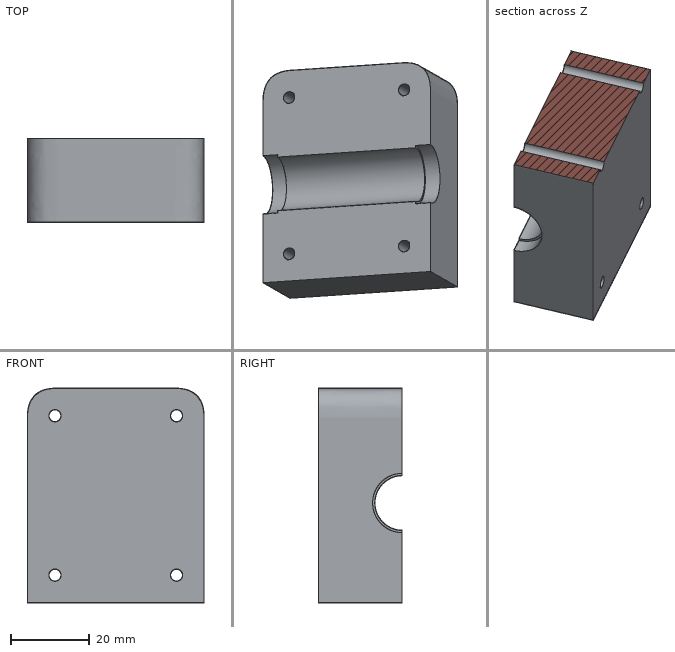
import cadquery as cq

width = 45.3
depth = 21.5
height = 55.0
corner_size = 7.6

hole_diameter = 3.0
hole_inset = 7.1

channel_height = 25.6
channel_radius = 7.0
channel_end_radius = 7.6
channel_end_length = 3.95


def make_block():
    """Block standing on Z = 0, its upper corners parabolas tangent to the side and top."""
    side_x = width / 2
    curve_top_x = side_x - corner_size
    curve_foot_z = height - corner_size
    right_corner = [(side_x, curve_foot_z), (side_x, height), (curve_top_x, height)]
    left_corner = [(-curve_top_x, height), (-side_x, height), (-side_x, curve_foot_z)]
    return (
        cq.Workplane("XZ", origin=(0, depth, 0))
        .moveTo(-side_x, 0)
        .lineTo(side_x, 0)
        .lineTo(side_x, curve_foot_z)
        .bezier(right_corner)
        .lineTo(-curve_top_x, height)
        .bezier(left_corner)
        .close()
        .extrude(depth)
    )


def channel_cutter(radius, start, length):
    """Cylinder along X, centred on the back face."""
    return (
        cq.Workplane("YZ", origin=(start, depth, channel_height))
        .circle(radius)
        .extrude(length)
    )


def make_holes():
    """Four through holes, each inset equally from the nearest two sides."""
    hole_x = width / 2 - hole_inset
    hole_positions = [
        (x, z)
        for x in (-hole_x, hole_x)
        for z in (hole_inset, height - hole_inset)
    ]
    return (
        cq.Workplane("XZ", origin=(0, depth, 0))
        .pushPoints(hole_positions)
        .circle(hole_diameter / 2)
        .extrude(depth)
    )


result = make_block().cut(make_holes())
result = result.cut(channel_cutter(channel_radius, -width / 2, width))
for end_start in (-width / 2, width / 2 - channel_end_length):
    result = result.cut(channel_cutter(channel_end_radius, end_start, channel_end_length))